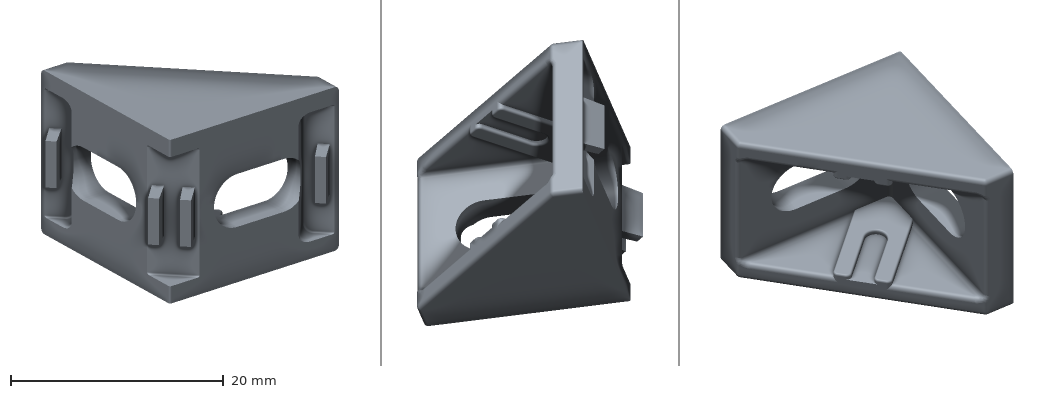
import cadquery as cq
import math

leg = 20.0
height = 17.0
plate = 3.0
web = 2.0
edge_radius = 0.5
small_radius = 0.2

rib_height = 0.52
rib_width = 5.72
groove_width = 2.2
groove_length = 6.92

hole_length = 11.0
hole_width = 5.5
hole_from_heel = 10.73

tab_pitch = 15.95
notch_height = 13.42
heel_notch = 3.53
notch_width = 4.24
notch_corner_radius = 1.0
tab_setback = 0.45
overall_length = 21.5
tab_root_thickness = 1.16
tab_tip_thickness = 1.05
tab_root_height = 5.14
tab_tip_height = 4.84

heel_notch_start = leg - heel_notch
end_notch_start = heel_notch_start - tab_pitch
root2 = math.sqrt(2)
tab_overhang = overall_length - leg
slope_end = leg - plate
pocket_half = height / 2 - web
rib_top = pocket_half - rib_height
tolerance = 0.002

tab_flank = cq.selectors.DirectionMinMaxSelector(cq.Vector(1, -1, 0), False)
far_flank = cq.selectors.DirectionMinMaxSelector(cq.Vector(1, 1, 0), True)


def mirrored(shape):
    """Mirror image of a Y plate shape on the X plate, across the bisecting plane."""
    return shape.mirror((1, 1, 0), (leg, 0, 0))


def prism(points, full_height):
    return cq.Workplane("XY").polyline(points).close().extrude(full_height / 2, both=True)


def turned_to_heel(shape, x, y):
    """Place a shape modelled along +X at (x, y), pointing 45 degrees towards the heel side."""
    return shape.rotate((0, 0, 0), (0, 0, 1), -45).translate((x, y, 0))


def make_pocket():
    """Triangular room between the webs, with a rounded floor against both plates."""
    outline = [(0, plate), (slope_end, plate), (slope_end, leg), (0, leg)]
    pocket = prism(outline, 2 * pocket_half)
    return pocket.faces(">X or <Y").edges("not(<X or >Y)").fillet(edge_radius)


def make_rib():
    """Upper rib: it reaches up into the web as far as the rounding of the pocket edge does."""
    length = slope_end / root2
    depth = rib_height + edge_radius
    rib = cq.Workplane("XY").box(length, rib_width, depth, centered=(False, True, False))
    rib = rib.cut(cq.Workplane("XY").slot2D(2 * groove_length, groove_width).extrude(rib_height))
    rib = rib.faces("<X").edges("|Z").fillet(edge_radius)
    rib = rib.faces("<Z").edges("not >X").fillet(small_radius)
    return turned_to_heel(rib, slope_end / 2, plate + slope_end / 2).translate((0, 0, rib_top))


def lies_outside(edge):
    """True for edges on the sloped face or on the two plate ends beside it."""
    points = [edge.positionAt(t) for t in (0, 0.5, 1)]
    on_near_end = all(abs(p.x) < tolerance for p in points)
    on_far_end = all(abs(p.y - leg) < tolerance for p in points)
    on_slope = all(abs(p.y - p.x - plate) < tolerance for p in points)
    on_mounting_face = all(p.y < tolerance or p.x > leg - tolerance for p in points)
    return (on_near_end or on_far_end or on_slope) and not on_mounting_face


def make_body():
    outline = [(0, 0), (leg, 0), (leg, leg), (slope_end, leg), (0, plate)]
    body = prism(outline, height).cut(make_pocket())
    outer = [edge for edge in body.edges().vals() if lies_outside(edge)]
    body = body.newObject(outer).fillet(edge_radius)
    rib = make_rib()
    return body.union(rib).union(rib.mirror("XY"))


def make_hole():
    hole = cq.Workplane("XZ").center(leg - hole_from_heel, 0).slot2D(hole_length, hole_width)
    return hole.extrude(-plate)


def make_end_notch():
    """V notch: one flank carries the tab, the other is rounded into the notch ends."""
    middle = end_notch_start + notch_width / 2
    depth = notch_width / 2
    corners = [
        (end_notch_start, 0),
        (middle, -depth),
        (end_notch_start + notch_width, 0),
        (middle, depth),
    ]
    notch = prism(corners, notch_height)
    notch = notch.faces(far_flank).edges("not |Z").fillet(notch_corner_radius)
    return notch.faces(tab_flank).edges("not <Y").fillet(small_radius)


def make_heel_notch():
    """Chamfer across the heel between the webs, rounded where it meets them."""
    corners = [
        (heel_notch_start, 0),
        (leg, -heel_notch),
        (leg + heel_notch, 0),
        (leg, heel_notch),
    ]
    notch = prism(corners, notch_height)
    return notch.faces(tab_flank).edges("not |Z").fillet(small_radius)


def make_tab(notch_start):
    """Tapered tab standing square on a notch flank; the side nearer the notch start is straight."""
    length = tab_setback + tab_overhang * root2
    tab = (
        cq.Workplane("YZ")
        .center(tab_setback + tab_root_thickness / 2, 0)
        .rect(tab_root_thickness, tab_root_height)
        .workplane(offset=length)
        .center((tab_tip_thickness - tab_root_thickness) / 2, 0)
        .rect(tab_tip_thickness, tab_tip_height)
        .loft()
    )
    return turned_to_heel(tab, notch_start, 0)


result = make_body()
heel_edge = cq.selectors.NearestToPointSelector((leg, 0, 0))
result = result.edges(heel_edge).fillet(small_radius)

for cutter in (make_hole(), make_end_notch(), make_heel_notch()):
    result = result.cut(cutter).cut(mirrored(cutter))

for notch_start in (end_notch_start, heel_notch_start):
    tab = make_tab(notch_start)
    result = result.union(tab).union(mirrored(tab))